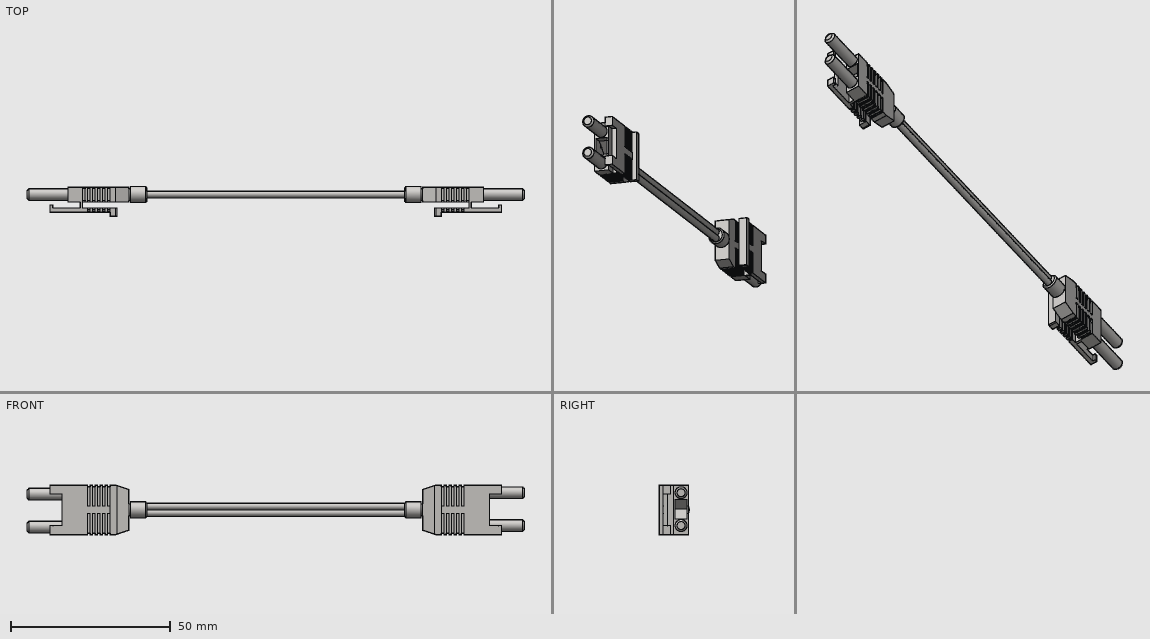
import cadquery as cq

cord_length = 155.5
plug_height = 15.5
half_height = plug_height / 2
half_length = cord_length / 2

latch_start = 7.2
latch_notch_end = 10.9
housing_start = 12.7
web_start = 16.6
grooves_start = 17.4
grip_start = 26.0
taper_start = 27.7
grip_end = 28.1
housing_end = 31.9
boot_collar_start = 32.3
boot_end = 37.5

housing_thickness = 4.7
half_thickness = housing_thickness / 2
taper_drop = 1.4

pin_diameter = 3.7
pin_spacing = 10.3
pin_offset = -0.23
pin_chamfer = 0.6

pocket_height = 6.0
pocket_wall_depth = 3.1
pocket_v_depth = 4.2
pocket_width = 3.7

latch_front = -5.6
latch_back = -4.2
notch_height = 9.8
hook_thickness = 1.0
hook_back = -3.3
grip_front = -6.8

groove_width = 0.8
groove_pitch = 1.5
groove_depth = 0.5
housing_groove_count = 6
latch_groove_count = 5
spine_height = 2.3

boot_diameter = 5.1
boot_neck_diameter = 3.7
boot_chamfer = 0.5
strand_diameter = 2.2
strand_spacing = 2.0


def block(x_range, y_range, z_range):
    """Box between two limits on each axis."""
    (x0, x1), (y0, y1), (z0, z1) = x_range, y_range, z_range
    return cq.Workplane("XY").box(x1 - x0, y1 - y0, z1 - z0, centered=False).translate((x0, y0, z0))


def rod(radius, x_start, x_end, z=0):
    """Round bar along X."""
    return cq.Workplane("YZ", origin=(x_start, 0, z)).circle(radius).extrude(x_end - x_start)


def tapered_slab(x_start, front, back):
    """Full-height slab between two Y limits, narrowed towards the cable."""
    return (
        cq.Workplane("XZ", origin=(0, back, 0))
        .moveTo(x_start, half_height)
        .lineTo(taper_start, half_height)
        .lineTo(housing_end, half_height - taper_drop)
        .lineTo(housing_end, taper_drop - half_height)
        .lineTo(taper_start, -half_height)
        .lineTo(x_start, -half_height)
        .close()
        .extrude(back - front)
    )


def front_pocket():
    """Straight-sided pocket with a V-shaped floor, cut into the housing front between the pins."""
    wall_end = housing_start + pocket_wall_depth
    top = pin_offset + pocket_height / 2
    bottom = pin_offset - pocket_height / 2
    return (
        cq.Workplane("XZ", origin=(0, pocket_width / 2, 0))
        .moveTo(housing_start, top)
        .lineTo(wall_end, top)
        .lineTo(wall_end + pocket_v_depth, pin_offset)
        .lineTo(wall_end, bottom)
        .lineTo(housing_start, bottom)
        .close()
        .extrude(pocket_width)
    )


def pin(z):
    """Round contact pin with a chamfered tip, standing out of the housing front."""
    return rod(pin_diameter / 2, 0, housing_start, z).faces("<X").chamfer(pin_chamfer)


def latch():
    """Latch plate with two hooked prongs, a grip bar and the web that carries it."""
    z_full = (-half_height, half_height)
    plate = block((latch_start, grip_end), (latch_front, latch_back), z_full)
    hook = block((latch_start, latch_start + hook_thickness), (latch_front, hook_back), z_full)
    grip = block((grip_start, grip_end), (grip_front, latch_back), z_full)
    web = block((web_start, grooves_start), (latch_back, -half_thickness), z_full)
    notch = block(
        (latch_start, latch_notch_end), (latch_front, hook_back), (-notch_height / 2, notch_height / 2)
    )
    envelope = tapered_slab(latch_start, grip_front, -half_thickness)
    return plate.union(hook).union(grip).union(web).cut(notch).intersect(envelope)


def cut_grooves(body, first_x, count, front, back):
    """Evenly spaced grooves around a body, interrupted by a spine on its front and back."""
    outside = half_height - groove_depth
    for index in range(count):
        x = first_x + index * groove_pitch
        x_range = (x, x + groove_width)
        for side in (1, -1):
            beside_spine = sorted((side * spine_height / 2, side * half_height))
            body = body.cut(block(x_range, (front, back), sorted((side * outside, side * half_height))))
            body = body.cut(block(x_range, (front, front + groove_depth), beside_spine))
            body = body.cut(block(x_range, (back - groove_depth, back), beside_spine))
    return body


def plug():
    """Housing, pins and latch in one piece, with the pin tips at X = 0."""
    shell = tapered_slab(housing_start, -half_thickness, half_thickness).cut(front_pocket())
    body = cut_grooves(shell, grooves_start, housing_groove_count, -half_thickness, half_thickness)
    for side in (1, -1):
        body = body.union(pin(pin_offset + side * pin_spacing / 2))
    first_latch_groove = grip_start - groove_width - (latch_groove_count - 1) * groove_pitch
    return body.union(cut_grooves(latch(), first_latch_groove, latch_groove_count, latch_front, latch_back))


def boot():
    """Strain-relief boot on the cable end of a plug."""
    neck = rod(boot_neck_diameter / 2, housing_end, boot_collar_start)
    collar = rod(boot_diameter / 2, boot_collar_start, boot_end).faces(">X").chamfer(boot_chamfer)
    return neck.union(collar)


def cable():
    """Twin-strand cable between the two boots."""
    cable_end = half_length - boot_end
    upper = rod(strand_diameter / 2, -cable_end, cable_end, strand_spacing / 2)
    lower = rod(strand_diameter / 2, -cable_end, cable_end, -strand_spacing / 2)
    return upper.union(lower)


ends = []
for turn in (0, 180):
    for body in (plug(), boot()):
        placed = body.translate((-half_length, 0, 0)).rotate((0, 0, 0), (0, 1, 0), turn)
        ends.append(placed.val())

result = cq.Compound.makeCompound([*ends, cable().val()])